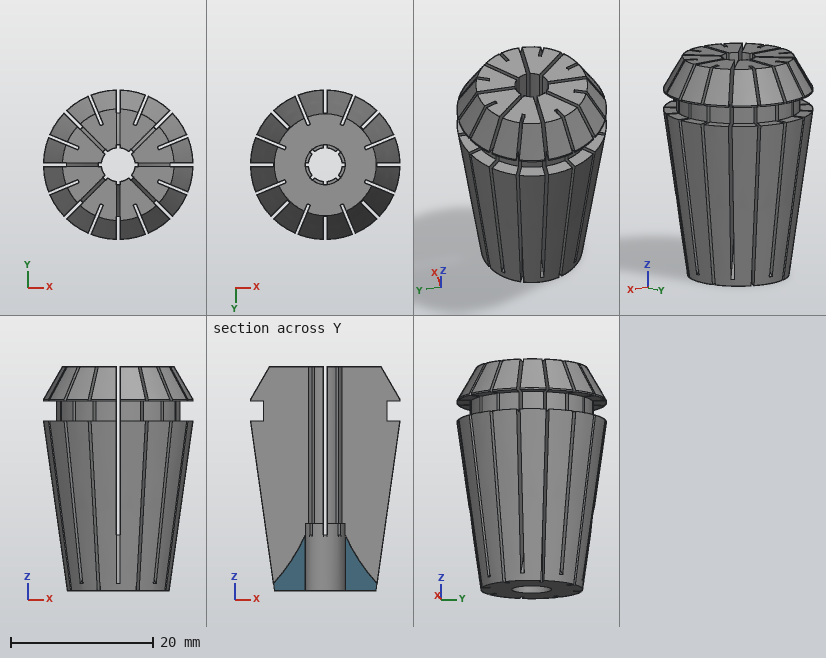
import cadquery as cq
import math

length = 31.5
max_radius = 10.505
body_height = 23.88
body_taper = 8.0
groove_top = 26.65
groove_radius = 8.7
rim_height = 0.22
nose_taper = 30.0

bore_radius = 2.35
relief_radius = 2.8
relief_depth = 9.45

slots_per_set = 8
slot_pitch = 360.0 / slots_per_set
top_slot_width = 0.5
top_slot_exit_height = 1.05
top_slot_bore_height = 7.88
cutter_radius = 25.2
end_slot_width = 0.45
end_slot_inner_radius = 6.05
clearance = 0.3


def body_radius(height):
    """Radius of the long taper at a given height."""
    return max_radius - (body_height - height) * math.tan(math.radians(body_taper))


def make_body():
    """Turned profile: long taper, extraction groove, rim and nose taper."""
    rim_top = groove_top + rim_height
    nose_radius = max_radius - (length - rim_top) * math.tan(math.radians(nose_taper))
    profile = [
        (0, 0),
        (body_radius(0), 0),
        (max_radius, body_height),
        (groove_radius, body_height),
        (groove_radius, groove_top),
        (max_radius, groove_top),
        (max_radius, rim_top),
        (nose_radius, length),
        (0, length),
    ]
    return cq.Workplane("XZ").polyline(profile).close().revolve(360, (0, 0), (0, 1))


def make_bore():
    """Through bore with a wider relief at the small end."""
    bore = cq.Workplane("XY").circle(bore_radius).extrude(length)
    relief = cq.Workplane("XY").circle(relief_radius).extrude(relief_depth)
    return bore.union(relief)


def make_top_slot():
    """Slot open at the nose, with a concave arc floor falling from the bore to the outside."""
    inner = (relief_radius, top_slot_bore_height)
    outer = (body_radius(top_slot_exit_height), top_slot_exit_height)
    chord_run = outer[0] - inner[0]
    chord_drop = inner[1] - outer[1]
    chord = math.hypot(chord_run, chord_drop)
    sag = cutter_radius - math.sqrt(cutter_radius**2 - (chord / 2) ** 2)
    floor_middle = (
        (inner[0] + outer[0]) / 2 - sag * chord_drop / chord,
        (inner[1] + outer[1]) / 2 - sag * chord_run / chord,
    )
    outside = max_radius + clearance
    return (
        cq.Workplane("XZ")
        .moveTo(0, top_slot_bore_height)
        .lineTo(*inner)
        .threePointArc(floor_middle, outer)
        .lineTo(outside, top_slot_exit_height)
        .lineTo(outside, length)
        .lineTo(0, length)
        .close()
        .extrude(top_slot_width / 2, both=True)
    )


def make_end_slot():
    """Full-length slot that stops short of the bore."""
    depth = max_radius + clearance - end_slot_inner_radius
    return (
        cq.Workplane("XY")
        .box(depth, end_slot_width, length, centered=(False, True, False))
        .translate((end_slot_inner_radius, 0, 0))
    )


result = make_body().cut(make_bore())
top_slot = make_top_slot()
end_slot = make_end_slot()
for index in range(slots_per_set):
    angle = index * slot_pitch
    result = result.cut(top_slot.rotate((0, 0, 0), (0, 0, 1), angle))
    result = result.cut(end_slot.rotate((0, 0, 0), (0, 0, 1), angle + slot_pitch / 2))